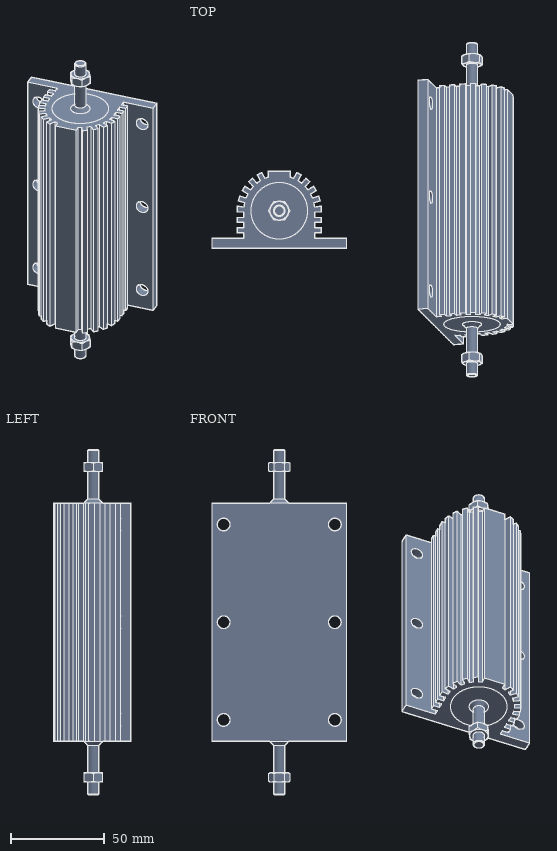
import cadquery as cq
import math

total_length = 184.0
body_length = 127.0
body_depth = 41.2

base_width = 72.0
base_thickness = 5.5
core_axis_height = 20.0
base_bottom_y = -core_axis_height
base_top_y = base_bottom_y + base_thickness
barrel_radius = 19.0
fin_tip_radius = 22.5
fin_width = 2.8
side_fin_count = 3
side_fin_pitch = 2 * fin_width
top_side_fin_tip_width = 3.3
radial_fin_count = 4
first_radial_fin_angle = 17.0
radial_fin_step = 15.0
crown_width = 11.8
core_radius = 15.0

hole_diameter = 6.6
hole_x = 29.6
hole_pitch_z = 52.0

stud_diameter = 6.0
stud_radius = stud_diameter / 2
stud_length = (total_length - body_length) / 2
stud_chamfer = 0.46
collar_height = 2.2
collar_radius = 5.2

nut_across_flats = 10.0
nut_corner_diameter = nut_across_flats / math.cos(math.radians(30))
nut_thickness = 5.0
nut_end_gap = 6.8
nut_bevel_height = 0.46
nut_bevel_depth = 0.83
nut_bottom_z = total_length / 2 - nut_end_gap - nut_thickness


def extrude_body(sketch):
    """Extrude a cross-section over the body length, centred on the XY plane."""
    return sketch.extrude(body_length / 2, both=True)


def make_bar(width, y_bottom, y_top):
    """Bar centred on X = 0, running the whole body length."""
    bar = cq.Workplane("XY").center(0, (y_bottom + y_top) / 2).rect(width, y_top - y_bottom)
    return extrude_body(bar)


def make_side_fins():
    """Horizontal fins above the base; each bar crosses the barrel and forms a fin on both sides."""
    lowest_fin_y = base_top_y + fin_width
    fins = []
    for row in range(side_fin_count - 1):
        fin_bottom_y = lowest_fin_y + row * side_fin_pitch
        fins.append(make_bar(2 * fin_tip_radius, fin_bottom_y, fin_bottom_y + fin_width))

    top_fin_y = lowest_fin_y + (side_fin_count - 1) * side_fin_pitch
    flared_fin = cq.Workplane("XY").polyline([
        (-fin_tip_radius, top_fin_y),
        (fin_tip_radius, top_fin_y),
        (fin_tip_radius, top_fin_y + top_side_fin_tip_width),
        (barrel_radius, top_fin_y + fin_width),
        (-barrel_radius, top_fin_y + fin_width),
        (-fin_tip_radius, top_fin_y + top_side_fin_tip_width),
    ]).close()
    fins.append(extrude_body(flared_fin))
    return fins


def make_radial_fins():
    """Parallel-sided fins fanning out around the round top, mirrored left and right."""
    fins = []
    for step in range(radial_fin_count):
        angle = first_radial_fin_angle + step * radial_fin_step
        upright_fin = make_bar(fin_width, 0, fin_tip_radius)
        for turn in (90 - angle, angle - 90):
            fins.append(upright_fin.rotate((0, 0, 0), (0, 0, 1), turn))
    return fins


def make_housing():
    """Flat mounting base with a finned, round-topped barrel and a bore for the core."""
    housing = make_bar(base_width, base_bottom_y, base_top_y)
    housing = housing.union(make_bar(2 * barrel_radius, base_bottom_y, 0))
    housing = housing.union(extrude_body(cq.Workplane("XY").circle(barrel_radius)))
    housing = housing.union(make_bar(crown_width, 0, base_bottom_y + body_depth))
    for fin in make_side_fins() + make_radial_fins():
        housing = housing.union(fin)

    bore = extrude_body(cq.Workplane("XY").circle(core_radius))
    holes = (
        cq.Workplane("XZ", origin=(0, base_top_y, 0))
        .rarray(2 * hole_x, hole_pitch_z, 2, 3)
        .circle(hole_diameter / 2)
        .extrude(base_thickness)
    )
    return housing.cut(bore).cut(holes)


def make_core():
    """Solid cylinder filling the housing bore."""
    return extrude_body(cq.Workplane("XY").circle(core_radius))


def make_terminal():
    """Upper stud standing on the core's end face, with a conical collar at its foot."""
    half_profile = (
        cq.Workplane("XZ", origin=(0, 0, body_length / 2))
        .lineTo(collar_radius, 0)
        .lineTo(stud_radius, collar_height)
        .lineTo(stud_radius, stud_length - stud_chamfer)
        .lineTo(stud_radius - stud_chamfer, stud_length)
        .lineTo(0, stud_length)
        .close()
    )
    return half_profile.revolve(360, (0, 0, 0), (0, 1, 0))


def make_nut():
    """Hexagonal nut on the upper stud, its corners bevelled at both ends."""
    nut = cq.Workplane("XY").polygon(6, nut_corner_diameter).extrude(nut_thickness)
    bevel = cq.Workplane("XY").circle(nut_corner_diameter / 2).extrude(nut_thickness)
    bevel = bevel.faces("<Z or >Z").chamfer(nut_bevel_height, nut_bevel_depth)
    nut = nut.intersect(bevel)
    nut = nut.cut(cq.Workplane("XY").circle(stud_radius).extrude(nut_thickness))
    return nut.translate((0, 0, nut_bottom_z))


housing = make_housing()
core = make_core()

terminals = []
nuts = []
for end_angle in (0, 180):
    terminals.append(make_terminal().rotate((0, 0, 0), (0, 1, 0), end_angle).val())
    nuts.append(make_nut().rotate((0, 0, 0), (0, 1, 0), end_angle).val())

result = cq.Compound.makeCompound([housing.val(), core.val(), *terminals, *nuts])